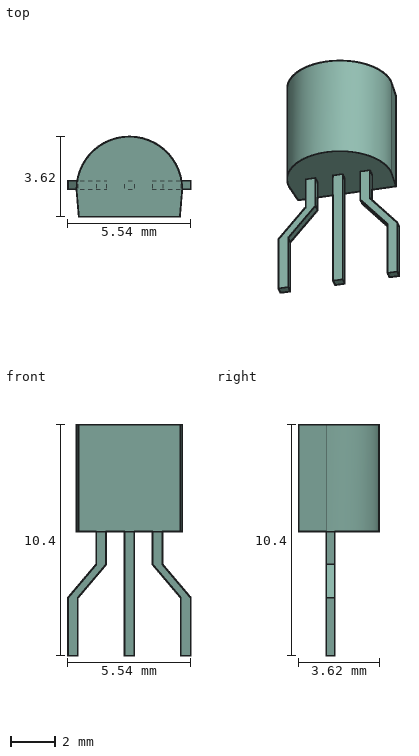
import cadquery as cq

total_height = 10.41

body_height = 4.82
body_radius = 2.38
front_depth = 1.24
front_face_width = 4.56

lead_width = 0.46
lead_thickness = 0.4
lead_pitch_at_body = 1.27
lead_pitch_at_tip = 2.54
lower_bend_height = 2.61
upper_bend_height = 4.11

body_bottom = total_height - body_height


def make_body():
    """D-shaped package extruded upward from the lead exits."""
    half_face = front_face_width / 2
    return (
        cq.Workplane("XY", origin=(0, 0, body_bottom))
        .moveTo(-half_face, -front_depth)
        .lineTo(half_face, -front_depth)
        .lineTo(body_radius, 0)
        .threePointArc((0, body_radius), (-body_radius, 0))
        .close()
        .extrude(body_height)
    )


def make_lead(x_at_body, x_at_tip):
    """Flat lead whose two vertical runs are joined by a slanted run."""
    centerline = [
        (x_at_tip, 0),
        (x_at_tip, lower_bend_height),
        (x_at_body, upper_bend_height),
        (x_at_body, body_bottom),
    ]
    left_edge = [(x - lead_width / 2, z) for x, z in centerline]
    right_edge = [(x + lead_width / 2, z) for x, z in reversed(centerline)]
    return cq.Workplane("XZ").polyline(left_edge + right_edge).close().extrude(-lead_thickness)


result = make_body()
for side in (-1, 0, 1):
    result = result.union(make_lead(side * lead_pitch_at_body, side * lead_pitch_at_tip))